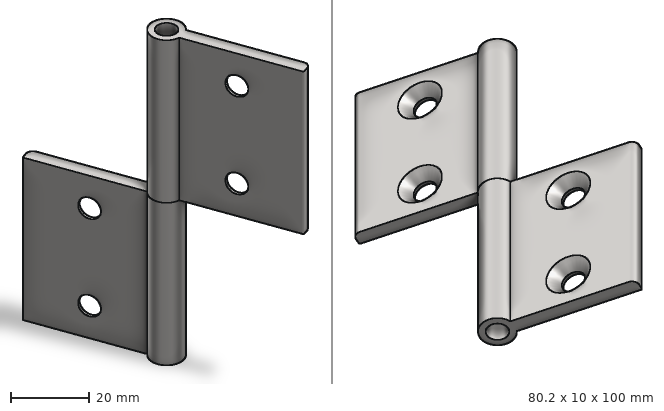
import cadquery as cq

leaf_height = 50.0
knuckle_diameter = 10.0
bore_diameter = 6.0

leaf_reach = 40.1
leaf_thickness = 4.0
back_edge_radius = 2.0
front_edge_radius = 0.4

screw_hole_diameter = 6.5
countersink_diameter = 12.5
countersink_depth = 3.0
screw_hole_reach = 21.0
screw_hole_margin = 10.0


def leaf_plate():
    """Flat plate running from the hinge axis toward +X, free edge rounded."""
    plate = cq.Workplane("XY").box(
        leaf_reach, leaf_thickness, leaf_height, centered=(False, True, False)
    )
    plate = plate.edges("|Z and >X and >Y").fillet(back_edge_radius)
    return plate.edges("|Z and >X and <Y").fillet(front_edge_radius)


def screw_hole(height):
    """Cutter for one screw hole along Y, countersunk from the +Y face."""
    face = leaf_thickness / 2
    hole_radius = screw_hole_diameter / 2
    profile = [
        (0, -face),
        (hole_radius, -face),
        (hole_radius, face - countersink_depth),
        (countersink_diameter / 2, face),
        (0, face),
    ]
    cutter = cq.Workplane("XY").polyline(profile).close().revolve(360, (0, 0), (0, 1))
    return cutter.translate((screw_hole_reach, 0, height))


def hinge_leaf():
    """One leaf: knuckle and plate with the pin bore and screw holes cut through."""
    knuckle = cq.Workplane("XY").circle(knuckle_diameter / 2).extrude(leaf_height)
    bore = cq.Workplane("XY").circle(bore_diameter / 2).extrude(leaf_height)
    leaf = knuckle.union(leaf_plate()).cut(bore)
    for height in (screw_hole_margin, leaf_height - screw_hole_margin):
        leaf = leaf.cut(screw_hole(height))
    return leaf


lower_leaf = hinge_leaf().mirror("YZ").translate((0, 0, -leaf_height))
upper_leaf = hinge_leaf()

result = cq.Compound.makeCompound([lower_leaf.val(), upper_leaf.val()])